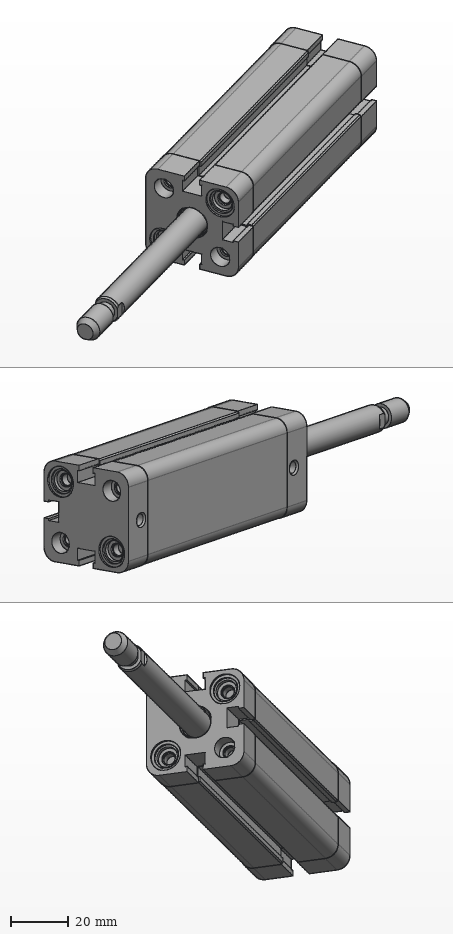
import cadquery as cq

cap_width = 36.3
cap_corner_radius = 4.8
barrel_inset = 0.15
barrel_width = cap_width - 2 * barrel_inset
barrel_corner_radius = cap_corner_radius - barrel_inset

total_length = 189.6
body_length = 107.0
cap_length = 11.75
rod_tip = -total_length / 2
rear_face = total_length / 2
front_face = rear_face - body_length
barrel_front = front_face + cap_length
barrel_length = body_length - 2 * cap_length

slot_angles = (0, 90, 180)
cap_slot = dict(mouth=6.0, lip=2.0, inner=7.4, depth=6.3)
barrel_slot = dict(mouth=5.0, lip=2.2, inner=6.4, depth=5.9)
barrel_mouth_chamfer = 0.5

mount_offset = 11.0
tap_diameter = 4.13
mount_thread_steps = ((5.0, 0.8), (tap_diameter, 3.0))
plain_mount_steps = ((7.5, 5.0),) + mount_thread_steps
stepped_mount_steps = ((11.1, 0.8), (9.0, 0.8), (7.55, 1.5)) + mount_thread_steps

port_offset = 7.7
port_depth = 6.0
port_rim_diameter = 5.4
port_rim_depth = 0.7

rod_diameter = 10.0
seal_recess_steps = ((12.0, 1.0), (11.1, 1.0))
shoulder_y = rod_tip + 16.3
shoulder_chamfer_length = 0.9
shoulder_chamfer_depth = 0.4
neck_diameter = 6.6
neck_length = 3.5
thread_diameter = 9.0
thread_tip_diameter = 6.2
thread_tip_length = 2.4

flat_width = 8.6
flat_length = 3.5
flat_clearance = 1.0


def across_axis(y, x=0, z=0):
    """Sketch plane across the cylinder axis; a negative extrusion runs toward +Y."""
    return cq.Workplane("XZ", origin=(x, y, z))


def rod_section(y, length, diameter):
    """Round bar on the cylinder axis from y toward +Y."""
    return across_axis(y).circle(diameter / 2).extrude(-length)


def slot_cutter(y, length, side, mouth, lip, inner, depth, mouth_chamfer=0):
    """T-shaped slot cutter in the top side of a square block."""
    top = side / 2
    half_outline = [
        (mouth / 2, top - mouth_chamfer),
        (mouth / 2, top - lip),
        (inner / 2, top - lip),
        (inner / 2, top - depth),
    ]
    if mouth_chamfer > 0:
        half_outline.insert(0, (mouth / 2 + mouth_chamfer, top))
    outline = half_outline + [(-x, z) for x, z in reversed(half_outline)]
    return across_axis(y).polyline(outline).close().extrude(-length)


def slotted_block(y, length, side, corner_radius, slot, mouth_chamfer=0):
    """Square block with rounded long corners and a slot in three of its sides."""
    block = across_axis(y).rect(side, side).extrude(-length)
    block = block.edges("|Y").fillet(corner_radius)
    cutter = slot_cutter(y, length, side, mouth_chamfer=mouth_chamfer, **slot)
    for angle in slot_angles:
        block = block.cut(cutter.rotate((0, 0, 0), (0, 1, 0), angle))
    return block


def cut_stepped_hole(body, face_y, inward, x, z, steps):
    """Cut coaxial bores one after another, starting at face_y; inward is +1 or -1 along Y."""
    y = face_y
    for diameter, depth in steps:
        bore = across_axis(y, x, z).circle(diameter / 2).extrude(-inward * depth)
        body = body.cut(bore)
        y += inward * depth
    return body


def cut_port(body, y):
    """Cut a countersunk air port into the -X side."""
    side_plane = cq.Workplane("YZ", origin=(-cap_width / 2, y, 0))
    bore = side_plane.circle(tap_diameter / 2).extrude(port_depth)
    countersink = (
        side_plane.circle(port_rim_diameter / 2)
        .workplane(offset=port_rim_depth)
        .circle(tap_diameter / 2)
        .loft()
    )
    return body.cut(bore).cut(countersink)


def make_cap(outer_face, inward):
    """End cap with its mounting holes in outer_face."""
    start = min(outer_face, outer_face + inward * cap_length)
    cap = slotted_block(start, cap_length, cap_width, cap_corner_radius, cap_slot)
    for offset in (mount_offset, -mount_offset):
        cap = cut_stepped_hole(cap, outer_face, inward, -offset, offset, plain_mount_steps)
        cap = cut_stepped_hole(cap, outer_face, inward, offset, offset, stepped_mount_steps)
    return cut_port(cap, outer_face + inward * port_offset)


def make_front_cap():
    cap = make_cap(front_face, 1)
    cap = cut_stepped_hole(cap, front_face, 1, 0, 0, seal_recess_steps)
    return cap.cut(rod_section(front_face, cap_length, rod_diameter))


def make_rear_cap():
    return make_cap(rear_face, -1)


def make_barrel():
    return slotted_block(
        barrel_front,
        barrel_length,
        barrel_width,
        barrel_corner_radius,
        barrel_slot,
        barrel_mouth_chamfer,
    )


def rod_flat_cutter():
    """Cutter for the +X wrench flat."""
    flat_x = flat_width / 2
    outer_x = rod_diameter / 2 + flat_clearance
    flat_end = shoulder_y + flat_length
    outline = [
        (flat_x, shoulder_y),
        (flat_x, flat_end),
        (outer_x, flat_end + outer_x - flat_x),
        (outer_x, shoulder_y),
    ]
    return cq.Workplane("XY").polyline(outline).close().extrude(rod_diameter / 2, both=True)


def make_rod():
    """Piston rod that ends on the barrel's front face."""
    rod = rod_section(shoulder_y, barrel_front - shoulder_y, rod_diameter)
    rod = rod.faces("<Y").chamfer(shoulder_chamfer_length, shoulder_chamfer_depth)
    flat = rod_flat_cutter()
    rod = rod.cut(flat).cut(flat.mirror("YZ"))

    neck_start = shoulder_y - neck_length
    neck = rod_section(neck_start, neck_length, neck_diameter)
    thread = rod_section(rod_tip, neck_start - rod_tip, thread_diameter)
    tip_depth = (thread_diameter - thread_tip_diameter) / 2
    thread = thread.faces("<Y").chamfer(thread_tip_length, tip_depth)
    return rod.union(neck).union(thread)


front_cap = make_front_cap()
barrel = make_barrel()
rear_cap = make_rear_cap()
piston_rod = make_rod()

result = cq.Compound.makeCompound(
    [front_cap.val(), barrel.val(), rear_cap.val(), piston_rod.val()]
)